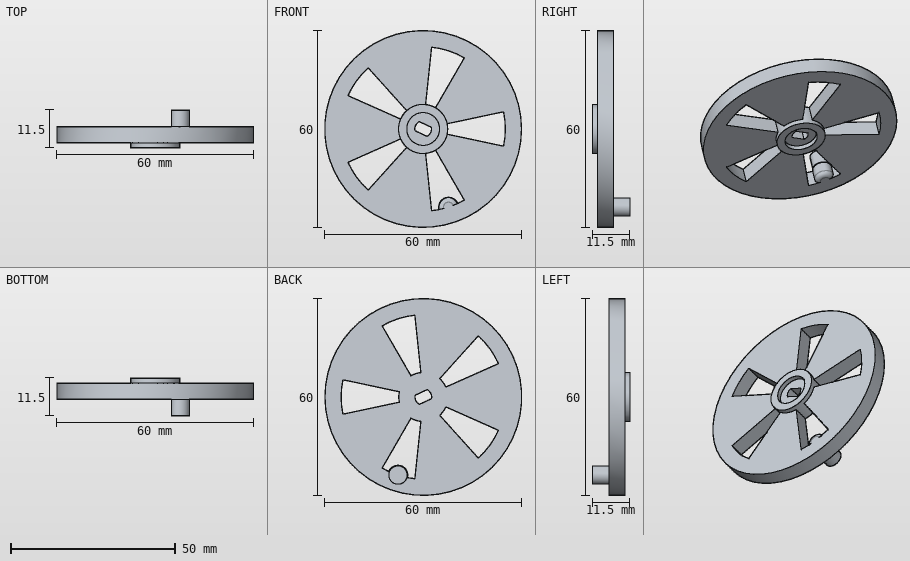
import cadquery as cq
import math

disc_radius = 30.0
disc_thickness = 5.0

hub_radius = 7.5
hub_height = 1.5
recess_radius = 5.0
recess_depth = 1.5

shaft_radius = 2.5
shaft_flat_width = 3.0
shaft_tilt = -25.0

window_count = 5
window_pitch = 360.0 / window_count
window_half_angle = 12.0
window_outer_radius = 25.0

pin_radius = 2.8
pin_projection = 5.0
pin_root_radius = 3.0
pin_root_round = pin_root_radius / 2
pin_angle = -window_pitch


def polar(radius, degrees):
    """Point in the XZ plane at a radius and an angle from +X towards +Z."""
    angle = math.radians(degrees)
    return (radius * math.cos(angle), radius * math.sin(angle))


def plane_at(y):
    """Sketch plane facing +Y at position y, with its local x along +X and local y along -Z."""
    return cq.Workplane(cq.Plane(origin=(0, y, 0), xDir=(1, 0, 0), normal=(0, 1, 0)))


def cylinder(radius, y_start, y_end, centre=(0, 0)):
    """Cylinder along Y; centre is its (X, Z) position."""
    x, z = centre
    return plane_at(y_start).center(x, -z).circle(radius).extrude(y_end - y_start)


def window(angle):
    """Wedge with radial sides from the disc centre to the outer arc; the hub fills its tip."""
    return (
        cq.Workplane("XZ")
        .lineTo(*polar(window_outer_radius, angle - window_half_angle))
        .threePointArc(
            polar(window_outer_radius, angle),
            polar(window_outer_radius, angle + window_half_angle),
        )
        .close()
        .extrude(-disc_thickness)
    )


def crank_pin():
    """Root inside the disc, rounded at the front face, with the narrower pin behind it."""
    centre = polar(window_outer_radius, pin_angle)
    root = cylinder(pin_root_radius, 0, disc_thickness, centre)
    root = root.faces("<Y").edges().fillet(pin_root_round)
    pin = cylinder(pin_radius, disc_thickness, disc_thickness + pin_projection, centre)
    return root.union(pin)


def shaft_hole():
    """Double-flat bore through the hub and the disc: two flats joined by arcs."""
    corner_angle = math.degrees(math.asin(shaft_flat_width / 2 / shaft_radius))
    return (
        cq.Workplane("XZ", origin=(0, -hub_height, 0))
        .moveTo(*polar(shaft_radius, shaft_tilt - corner_angle))
        .threePointArc(
            polar(shaft_radius, shaft_tilt),
            polar(shaft_radius, shaft_tilt + corner_angle),
        )
        .lineTo(*polar(shaft_radius, shaft_tilt + 180 - corner_angle))
        .threePointArc(
            polar(shaft_radius, shaft_tilt + 180),
            polar(shaft_radius, shaft_tilt + 180 + corner_angle),
        )
        .close()
        .extrude(-(hub_height + disc_thickness))
    )


wheel = cylinder(disc_radius, 0, disc_thickness)
for index in range(window_count):
    wheel = wheel.cut(window(index * window_pitch))

wheel = wheel.union(cylinder(hub_radius, -hub_height, disc_thickness))
wheel = wheel.cut(cylinder(recess_radius, -hub_height, recess_depth - hub_height))
wheel = wheel.cut(shaft_hole())

result = wheel.union(crank_pin())